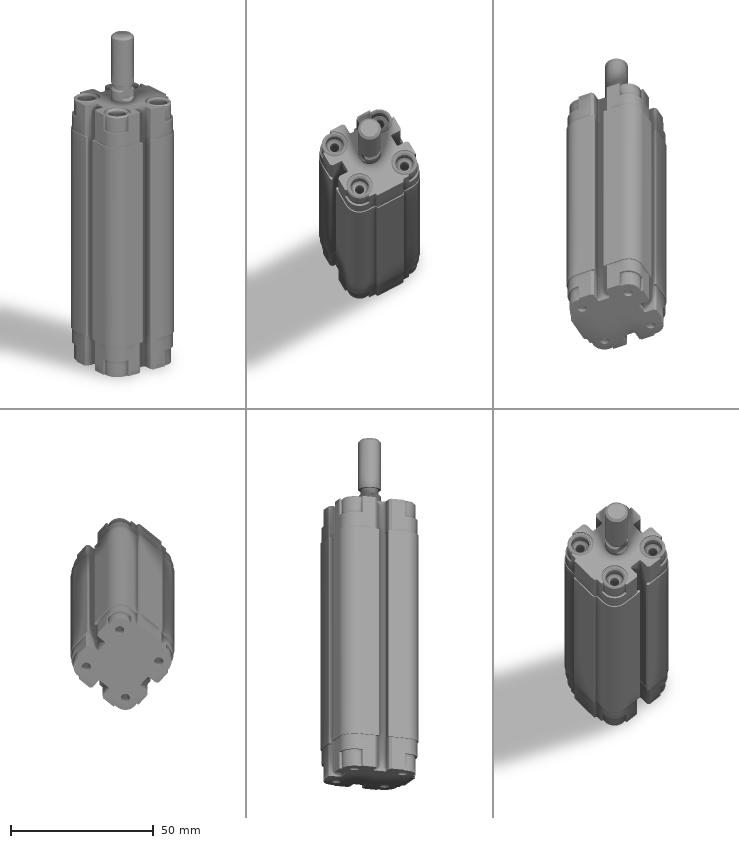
import cadquery as cq

total_length = 122.5
body_length = 98.0
cap_length = 11.5
tube_width = 29.0
cap_inset = 0.4
hole_spacing = 18.0

ridge_height = 1.0
ridge_half_base = 5.6
ridge_half_top = 5.1

tube_slot_half = 2.5
cap_slot_half = 2.3
slot_floor = 9.8
lip_half = 1.7
lip_thickness = 0.9
lip_fillet = 0.4
cap_mouth_chamfer = 0.7
cap_slot_fillet = 0.5

corner_length = 6.0
corner_start = 8.0
collar_diameter = 9.0

screw_diameter = 3.2
screw_mouth_diameter = 3.5
bore_diameter = 6.4
bore_depth = 3.4
bore_mouth_chamfer = 0.6
collar_chamfer = 0.5
groove_diameter = 9.4

rod_diameter = 8.0
rod_tip_chamfer = 0.9
neck_diameter = 6.4
neck_length = 2.0
thread_length = 18.0
shoulder_chamfer = 0.5
flat_width = 6.0
flat_length = 3.1
rod_depth = cap_length

tube_half = tube_width / 2
cap_half = tube_half - cap_inset
hole_offset = hole_spacing / 2
slot_angles = (90, 180, 270)
corners = [(sx * hole_offset, sy * hole_offset) for sx in (-1, 1) for sy in (-1, 1)]


def ridged_block(half, length):
    """Square block rounded about the corner hole axes, with the rail on its +Y side."""
    block = (
        cq.Workplane("XY")
        .rect(2 * half, 2 * half)
        .extrude(length)
        .edges("|Z")
        .fillet(half - hole_offset)
    )
    ridge = (
        cq.Workplane("XY")
        .polyline([
            (-ridge_half_base, 0),
            (-ridge_half_base, half),
            (-ridge_half_top, half + ridge_height),
            (ridge_half_top, half + ridge_height),
            (ridge_half_base, half),
            (ridge_half_base, 0),
        ])
        .close()
        .extrude(length)
    )
    return block.union(ridge)


def slot_cutter(half_width, start, end, length):
    """Straight channel of the +Y side, between two distances from the centre line."""
    return (
        cq.Workplane("XY", origin=(0, (start + end) / 2, 0))
        .rect(2 * half_width, end - start)
        .extrude(length)
    )


def cut_on_slot_sides(block, cutter):
    """Cut a +Y side channel turned to each grooved side."""
    for angle in slot_angles:
        block = block.cut(cutter.rotate((0, 0, 0), (0, 0, 1), angle))
    return block


def mouth_edges(block, mouth_half, half):
    """Lengthwise edges where the grooves open onto the sides."""
    places = []
    for along in (-mouth_half, mouth_half):
        places += [(-half, along), (half, along), (along, -half)]
    middle = block.val().Center().z
    edges = cq.Workplane("XY")
    for x, y in places:
        nearest = cq.selectors.NearestToPointSelector((x, y, middle))
        edges = edges.add(block.edges("|Z").edges(nearest))
    return edges.vals()


def make_tube():
    """Middle length of the housing, with lipped grooves."""
    length = body_length - 2 * cap_length
    lip_inside = tube_half - lip_thickness
    tube = ridged_block(tube_half, length)
    tube = cut_on_slot_sides(tube, slot_cutter(tube_slot_half, slot_floor, lip_inside, length))
    tube = cut_on_slot_sides(tube, slot_cutter(lip_half, lip_inside, tube_half, length))
    return cq.Workplane(tube.val().fillet(lip_fillet, mouth_edges(tube, lip_half, tube_half)))


def corner_relief():
    """Material outside the round corner at the outer end of a cap, for the +X +Y corner."""
    reach = tube_half - corner_start + ridge_height
    start = cap_length - corner_length
    collar = (
        cq.Workplane("XY", origin=(hole_offset, hole_offset, start))
        .circle(collar_diameter / 2)
        .extrude(corner_length)
    )
    return (
        cq.Workplane("XY", origin=(corner_start, corner_start, start))
        .rect(reach, reach, centered=False)
        .extrude(corner_length)
        .cut(collar)
    )


def corner_hole():
    """Chamfered bore with a countersunk screw hole, opening at the top of a cap."""
    screw_radius = screw_diameter / 2
    screw_mouth_radius = screw_mouth_diameter / 2
    bore_radius = bore_diameter / 2
    floor = cap_length - bore_depth
    return (
        cq.Workplane("XZ")
        .polyline([
            (0, 0),
            (screw_radius, 0),
            (screw_radius, floor - (screw_mouth_radius - screw_radius)),
            (screw_mouth_radius, floor),
            (bore_radius, floor),
            (bore_radius, cap_length - bore_mouth_chamfer),
            (bore_radius + bore_mouth_chamfer, cap_length),
            (0, cap_length),
        ])
        .close()
        .revolve(360, (0, 0, 0), (0, 1, 0))
    )


def collar_groove():
    """Ring cut that bevels the rim of a collar at the top of a cap."""
    collar_radius = collar_diameter / 2
    groove_radius = groove_diameter / 2
    return (
        cq.Workplane("XZ")
        .polyline([
            (collar_radius - collar_chamfer, cap_length),
            (collar_radius, cap_length - collar_chamfer),
            (groove_radius, cap_length - collar_chamfer),
            (groove_radius, cap_length),
        ])
        .close()
        .revolve(360, (0, 0, 0), (0, 1, 0))
    )


def make_cap():
    """End cap whose outer face is at the top, without its corner holes."""
    cap = ridged_block(cap_half, cap_length)
    slot = slot_cutter(cap_slot_half, slot_floor, cap_half, cap_length)
    cap = cut_on_slot_sides(cap, slot.edges("|Z and <Y").fillet(cap_slot_fillet))
    bevelled = mouth_edges(cap, cap_slot_half, cap_half)
    cap = cq.Workplane(cap.val().chamfer(cap_mouth_chamfer, None, bevelled))
    for quarter in range(4):
        cap = cap.cut(corner_relief().rotate((0, 0, 0), (0, 0, 1), 90 * quarter))
    return cap


def add_corner_holes(cap):
    """Give a cap its bevelled collars and the bores inside them."""
    for x, y in corners:
        for cutter in (corner_hole(), collar_groove()):
            cap = cap.cut(cutter.translate((x, y, 0)))
    return cap


def make_housing():
    """Tube and both end caps as one body, bored for the screws and the rod."""
    plain_cap = make_cap()
    rod_end_cap = add_corner_holes(plain_cap)
    screw_holes = (
        cq.Workplane("XY")
        .pushPoints(corners)
        .circle(screw_diameter / 2)
        .extrude(body_length)
    )
    rod_bore = (
        cq.Workplane("XY", origin=(0, 0, body_length - rod_depth))
        .circle(rod_diameter / 2)
        .extrude(rod_depth)
    )
    return (
        make_tube()
        .translate((0, 0, cap_length))
        .union(rod_end_cap.translate((0, 0, body_length - cap_length)))
        .union(plain_cap.mirror("XY").translate((0, 0, cap_length)))
        .cut(screw_holes)
        .cut(rod_bore)
    )


def make_rod():
    """Piston rod with a necked thread end and two spanner flats facing X."""
    radius = rod_diameter / 2
    neck_radius = neck_diameter / 2
    thread_end = total_length - thread_length
    shoulder = thread_end - neck_length
    rod = (
        cq.Workplane("XZ")
        .polyline([
            (0, body_length - rod_depth),
            (radius, body_length - rod_depth),
            (radius, shoulder - shoulder_chamfer),
            (radius - shoulder_chamfer, shoulder),
            (neck_radius, shoulder),
            (neck_radius, thread_end),
            (radius, thread_end),
            (radius, total_length - rod_tip_chamfer),
            (radius - rod_tip_chamfer, total_length),
            (0, total_length),
        ])
        .close()
        .revolve(360, (0, 0, 0), (0, 1, 0))
    )
    flat_half = flat_width / 2
    flat_end = shoulder - flat_length
    flat = (
        cq.Workplane("XZ")
        .polyline([
            (flat_half, shoulder),
            (flat_half, flat_end),
            (radius, flat_end - (radius - flat_half)),
            (radius, shoulder),
        ])
        .close()
        .extrude(radius, both=True)
    )
    return rod.cut(flat).cut(flat.mirror("YZ"))


housing = make_housing()
rod = make_rod()
result = cq.Compound.makeCompound([housing.val(), rod.val()])